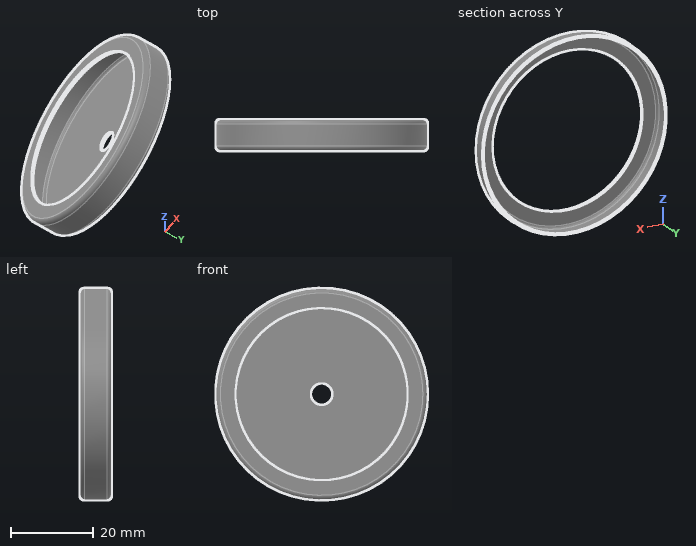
import cadquery as cq

outer_diameter = 51.82
depth = 7.94
wall = 0.635
outer_edge_radius = 1.27
opening_diameter = 41.9
hole_diameter = 5.16

inner_diameter = outer_diameter - 2 * wall
inner_edge_radius = outer_edge_radius - wall
back_y = depth / 2
front_y = -back_y


def cylinder(diameter, start_y, end_y):
    """Cylinder on the Y axis between two planes."""
    return cq.Workplane("XZ", origin=(0, end_y, 0)).circle(diameter / 2).extrude(end_y - start_y)


def rounded_disc(diameter, start_y, end_y, edge_radius):
    """Cylinder on the Y axis with both rims rounded."""
    return cylinder(diameter, start_y, end_y).edges("%CIRCLE").fillet(edge_radius)


body = rounded_disc(outer_diameter, front_y, back_y, outer_edge_radius)
cavity = rounded_disc(inner_diameter, front_y + wall, back_y - wall, inner_edge_radius)
shell = body.cut(cavity)

front_opening = cylinder(opening_diameter, front_y, front_y + wall)
center_hole = cylinder(hole_diameter, back_y - wall, back_y)

result = shell.cut(front_opening).cut(center_hole)